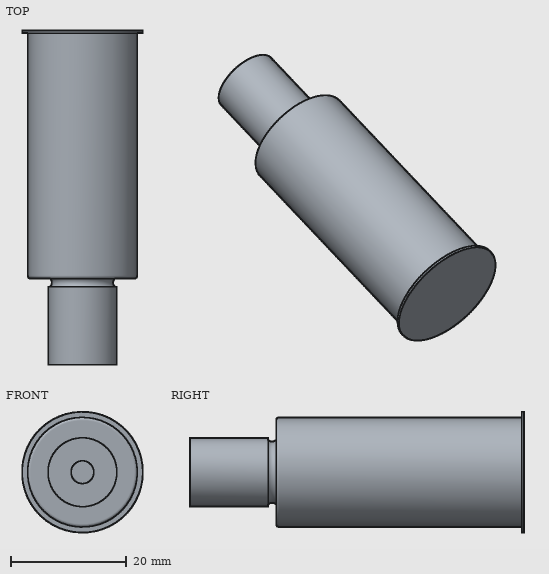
import cadquery as cq
import math

total_length = 58.0
flange_radius = 10.5
flange_thickness = 0.45
body_radius = 9.5
body_edge_fillet = 0.5
shank_radius = 6.0
shank_length = 13.6
neck_radius = 5.35
neck_length = 1.4
neck_end_radius = 5.6
bore_radius = 2.0
bore_depth = 10.0

shank_end = -total_length / 2
flange_face = total_length / 2
flange_underside = flange_face - flange_thickness
shank_shoulder = shank_end + shank_length
body_start = shank_shoulder + neck_length
neck_middle = shank_shoulder + neck_length / 2


def turned_body():
    """Shank, concave neck, main barrel and thin flange as one revolved profile."""
    edge_center = (body_radius - body_edge_fillet, body_start + body_edge_fillet)
    edge_reach = body_edge_fillet * math.sqrt(0.5)
    edge_middle = (edge_center[0] + edge_reach, edge_center[1] - edge_reach)
    profile = (
        cq.Workplane("XY")
        .moveTo(0, shank_end)
        .lineTo(shank_radius, shank_end)
        .lineTo(shank_radius, shank_shoulder)
        .lineTo(neck_end_radius, shank_shoulder)
        .threePointArc((neck_radius, neck_middle), (neck_end_radius, body_start))
        .lineTo(edge_center[0], body_start)
        .threePointArc(edge_middle, (body_radius, edge_center[1]))
        .lineTo(body_radius, flange_underside)
        .lineTo(flange_radius, flange_underside)
        .lineTo(flange_radius, flange_face)
        .lineTo(0, flange_face)
        .close()
    )
    return profile.revolve(360, (0, 0, 0), (0, 1, 0))


def end_bore():
    """Flat-bottomed blind hole in the free end of the shank."""
    bore = cq.Solid.makeCylinder(bore_radius, bore_depth, cq.Vector(0, shank_end, 0), cq.Vector(0, 1, 0))
    return cq.Workplane(obj=bore)


result = turned_body().cut(end_bore())